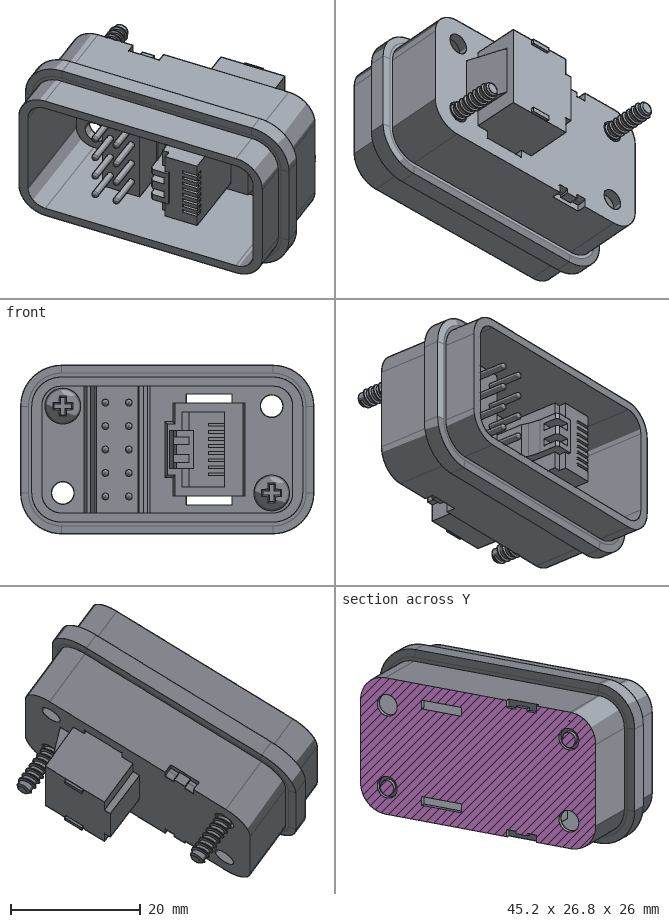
import cadquery as cq
import math

body_width, body_height, body_depth, body_radius = 41.7, 22.3, 18.5, 4.5
cavity_width, cavity_height, cavity_radius = 38.6, 19.5, 3.0
back_wall = 1.55
floor_y = body_depth - back_wall

flange_width, flange_height, flange_radius = 45.15, 25.95, 6.3
rim_start_y, rim_end_y = 5.82, 8.5
flange_taper_width, flange_taper_depth = 1.2, 0.23

screw_x, screw_z = 16.07, 6.7
mount_hole_diameter = 3.45
head_diameter, head_height, head_edge_height, head_bevel = 5.5, 1.55, 0.7, 0.2
shank_diameter, shank_end_y, shank_chamfer = 2.3, 26.4, 0.25
thread_diameter, thread_pitch = 2.9, 1.0
thread_start_y, thread_end_y = 17.4, 25.75
thread_base_width, thread_crest_width = 0.65, 0.15
thread_root_overlap = 0.1
cross_length, cross_arm_width = 3.2, 1.2
cross_depth, cross_taper_angle = 1.1, 14.0

header_x = -7.7
header_face_y = 8.95
header_half_width, shoulder_half_width, foot_half_width, base_half_width = 3.2, 3.4, 4.05, 4.65
header_base_outer_half_width = 5.1
shoulder_y, foot_y = 14.9, 16.4
pin_diameter, pin_pitch, pin_tip_y = 1.05, 3.6, 3.15
pin_tip_round = 0.45
pin_columns, pin_rows = 2, 5

notch_width, notch_post_width = 5.25, 2.05
notch_height, notch_pocket_height = 0.75, 1.17
pocket_ledge_y, pocket_edge_drop = 17.55, 0.35

housing_half_height, tongue_half_height = 7.2, 4.3
housing_left, housing_right, tongue_left = 0.85, 11.95, -0.35
housing_front_y, housing_back_y = 13.73, 26.4
left_draft, right_draft, back_draft = 0.35, 0.25, 0.15
ramp_reach_x, ramp_top_y, ramp_half_height = 14.35, 25.05, 4.3
vent_left, vent_right, vent_top = 2.95, 9.95, 8.55
foot_pad_left, foot_pad_right, foot_pad_height, foot_pad_end_y = 4.8, 8.0, 0.8, 26.8
foot_pad_inset = 0.1

plug_left, plug_step_x, plug_right, plug_half_height = 2.25, 3.35, 8.8, 5.8
plug_front_y, plug_step_y = 1.8, 3.03
contact_count, contact_pitch, contact_width = 8, 1.1, 0.4
contact_left, contact_depth = 6.3, 1.35

latch_right, latch_front_y, latch_half_height = 4.05, 1.4, 2.95
latch_chamfer = 0.4
latch_side_x, latch_root_x = 1.0, 0.3
latch_knee_x = 0.7
latch_bend_y, latch_knee_y, latch_root_y = 4.95, 7.0, 8.13
window_z, window_height, window_end_y = 1.35, 1.2, 4.15


def box(x_range, y_range, z_range):
    """Box between the given limits on each axis."""
    (x0, x1), (y0, y1), (z0, z1) = x_range, y_range, z_range
    return cq.Workplane("XY").box(x1 - x0, y1 - y0, z1 - z0, centered=False).translate((x0, y0, z0))


def rounded_slab(width, height, radius, start_y, end_y):
    """Rounded rectangle extruded along Y."""
    slab = cq.Workplane("XZ", origin=(0, end_y, 0)).rect(width, height).extrude(end_y - start_y)
    return slab.edges("|Y").fillet(radius)


def cylinder(diameter, start_y, end_y, x=0.0, z=0.0):
    """Cylinder along Y."""
    return cq.Workplane("XZ", origin=(x, end_y, z)).circle(diameter / 2).extrude(end_y - start_y)


def prism(points, half_height):
    """XY outline extruded symmetrically about z = 0."""
    return cq.Workplane("XY").polyline(points).close().extrude(half_height, both=True)


def make_flange():
    rim = rounded_slab(flange_width, flange_height, flange_radius, rim_start_y, rim_end_y)
    taper_angle = math.degrees(math.atan2(flange_taper_width, flange_taper_depth))
    front = rim.faces("<Y").wires().toPending().extrude(flange_taper_depth, taper=taper_angle, combine=False)
    back = front.mirror("XZ").translate((0, rim_start_y + rim_end_y, 0))
    return rim.union(front).union(back)


def make_shell():
    body = rounded_slab(body_width, body_height, body_radius, 0, body_depth)
    cavity = rounded_slab(cavity_width, cavity_height, cavity_radius, 0, floor_y)
    shell = body.union(make_flange()).cut(cavity)
    for side_x in (-1, 1):
        for side_z in (-1, 1):
            x, z = side_x * screw_x, side_z * screw_z
            shell = shell.cut(cylinder(mount_hole_diameter, floor_y, body_depth, x, z))
    vent = box((vent_left, vent_right), (floor_y, body_depth), (-vent_top, vent_top))
    return shell.cut(vent)


def make_cross_recess():
    """Tapered cross recess that opens at y = 0 and narrows toward +Y."""
    outline = cq.Workplane("XZ").rect(cross_length, cross_arm_width)
    arm = outline.extrude(-cross_depth, taper=cross_taper_angle)
    return arm.union(arm.rotate((0, 0, 0), (0, 1, 0), 90))


def make_thread(start_y, end_y):
    """Helical ridge of trapezoidal section, wound about the Y axis."""
    root = shank_diameter / 2 - thread_root_overlap
    crest = thread_diameter / 2
    helix = cq.Wire.makeHelix(thread_pitch, end_y - start_y, root)
    section = cq.Workplane("XZ").polyline(
        [
            (root, -thread_base_width / 2),
            (crest, -thread_crest_width / 2),
            (crest, thread_crest_width / 2),
            (root, thread_base_width / 2),
        ]
    ).close()
    ridge = section.sweep(cq.Workplane(helix), isFrenet=True)
    return ridge.rotate((0, 0, 0), (1, 0, 0), -90).translate((0, start_y, 0))


def make_screw():
    """Pan-head screw on the Y axis, seated on the shell floor."""
    head_top_y = floor_y - head_height
    head_edge_y = floor_y - head_edge_height
    head_radius = head_diameter / 2
    dome_rise = head_height - head_edge_height
    rim_radius = head_radius - head_bevel
    dome_radius = (rim_radius**2 + dome_rise**2) / (2 * dome_rise)
    dome_mid = (rim_radius / 2, head_top_y + dome_radius - math.sqrt(dome_radius**2 - rim_radius**2 / 4))
    head = (
        cq.Workplane("XY")
        .moveTo(0, floor_y)
        .lineTo(0, head_top_y)
        .threePointArc(dome_mid, (rim_radius, head_edge_y))
        .lineTo(head_radius, head_edge_y + head_bevel)
        .lineTo(head_radius, floor_y)
        .close()
        .revolve(360, (0, 0, 0), (0, 1, 0))
    )
    shank = cylinder(shank_diameter, floor_y, shank_end_y).faces(">Y").chamfer(shank_chamfer)
    thread = make_thread(thread_start_y, thread_end_y)
    recess = make_cross_recess().translate((0, head_top_y, 0))
    return head.cut(recess).union(shank).union(thread)


def make_header():
    half_profile = [
        (header_half_width, header_face_y),
        (header_half_width, shoulder_y),
        (shoulder_half_width, shoulder_y),
        (foot_half_width, foot_y),
        (base_half_width, foot_y),
        (header_base_outer_half_width, floor_y),
    ]
    right = [(header_x + offset, y) for offset, y in half_profile]
    left = [(header_x - offset, y) for offset, y in reversed(half_profile)]
    return prism(right + left, cavity_height / 2)


def make_pins():
    pin = cylinder(pin_diameter, pin_tip_y, header_face_y).faces("<Y").edges().fillet(pin_tip_round)
    pins = []
    for column in range(pin_columns):
        for row in range(pin_rows):
            x = header_x + (column - (pin_columns - 1) / 2) * pin_pitch
            z = (row - (pin_rows - 1) / 2) * pin_pitch
            pins.append(pin.translate((x, 0, z)))
    return pins


def make_header_notches():
    """Notches with a deeper pocket on each side of a central post, in the back edges of both long walls."""
    top = body_height / 2
    notch_floor, pocket_floor = top - notch_height, top - notch_pocket_height
    half_width = notch_width / 2
    notch = box((-half_width, half_width), (floor_y, body_depth), (notch_floor, top))
    pocket_width = (notch_width - notch_post_width) / 2
    pocket = (
        cq.Workplane("YZ", origin=(notch_post_width / 2, 0, 0))
        .moveTo(floor_y, top)
        .lineTo(floor_y, pocket_floor)
        .lineTo(pocket_ledge_y, pocket_floor)
        .tangentArcPoint((body_depth, pocket_floor - pocket_edge_drop), relative=False)
        .lineTo(body_depth, top)
        .close()
        .extrude(pocket_width)
    )
    upper = notch.union(pocket).union(pocket.mirror("YZ")).translate((header_x, 0, 0))
    return upper.union(upper.mirror("XY"))


def make_housing():
    main = prism(
        [
            (housing_left + left_draft, housing_front_y),
            (housing_left, floor_y),
            (housing_left, housing_back_y),
            (housing_right - back_draft, housing_back_y),
            (housing_right, floor_y),
            (housing_right - right_draft, housing_front_y),
        ],
        housing_half_height,
    )
    tongue_width = housing_right - back_draft - tongue_left
    front_length = floor_y - housing_front_y
    tongue_outline = cq.Workplane("XZ", origin=(tongue_left + tongue_width / 2, floor_y, 0)).rect(
        tongue_width, 2 * tongue_half_height
    )
    tongue_front = tongue_outline.extrude(
        front_length, taper=math.degrees(math.atan2(left_draft, front_length))
    )
    tongue_back = prism(
        [
            (tongue_left, floor_y),
            (tongue_left + back_draft, housing_back_y),
            (housing_left, housing_back_y),
            (housing_left, floor_y),
        ],
        tongue_half_height,
    )
    ramp = prism(
        [(housing_left, body_depth), (ramp_reach_x, body_depth),
         (housing_right - back_draft, ramp_top_y), (housing_left, ramp_top_y)],
        ramp_half_height,
    )
    housing = main.union(tongue_front).union(tongue_back).union(ramp)
    pad_outer = housing_half_height - foot_pad_inset
    pad_inner = pad_outer - foot_pad_height
    for heights in ((pad_inner, pad_outer), (-pad_outer, -pad_inner)):
        pad = box((foot_pad_left, foot_pad_right), (housing_back_y, foot_pad_end_y), heights)
        housing = housing.union(pad)
    return housing


def make_plug():
    plug = prism(
        [
            (plug_left, housing_front_y),
            (plug_left, plug_step_y),
            (plug_step_x, plug_step_y),
            (plug_step_x, plug_front_y),
            (plug_right, plug_front_y),
            (plug_right, housing_front_y),
        ],
        plug_half_height,
    )
    latch = prism(
        [
            (latch_right, latch_front_y),
            (latch_side_x + latch_chamfer, latch_front_y),
            (latch_side_x, latch_front_y + latch_chamfer),
            (latch_side_x, latch_bend_y),
            (latch_knee_x, latch_knee_y),
            (latch_root_x, latch_root_y),
            (latch_root_x, housing_front_y),
            (latch_right, housing_front_y),
        ],
        latch_half_height,
    )
    plug = plug.union(latch)
    for z in (-window_z, window_z):
        heights = (z - window_height / 2, z + window_height / 2)
        plug = plug.cut(box((latch_side_x, plug_step_x), (latch_front_y, window_end_y), heights))
    for index in range(contact_count):
        z = (index - (contact_count - 1) / 2) * contact_pitch
        heights = (z - contact_width / 2, z + contact_width / 2)
        depth_range = (plug_front_y, plug_front_y + contact_depth)
        plug = plug.cut(box((contact_left, plug_right), depth_range, heights))
    return plug


result = make_shell().union(make_header()).cut(make_header_notches())
for pin in make_pins():
    result = result.union(pin)
result = result.union(make_housing()).union(make_plug())

screw = make_screw()
for side in (-1, 1):
    result = result.union(screw.translate((side * screw_x, 0, -side * screw_z)))